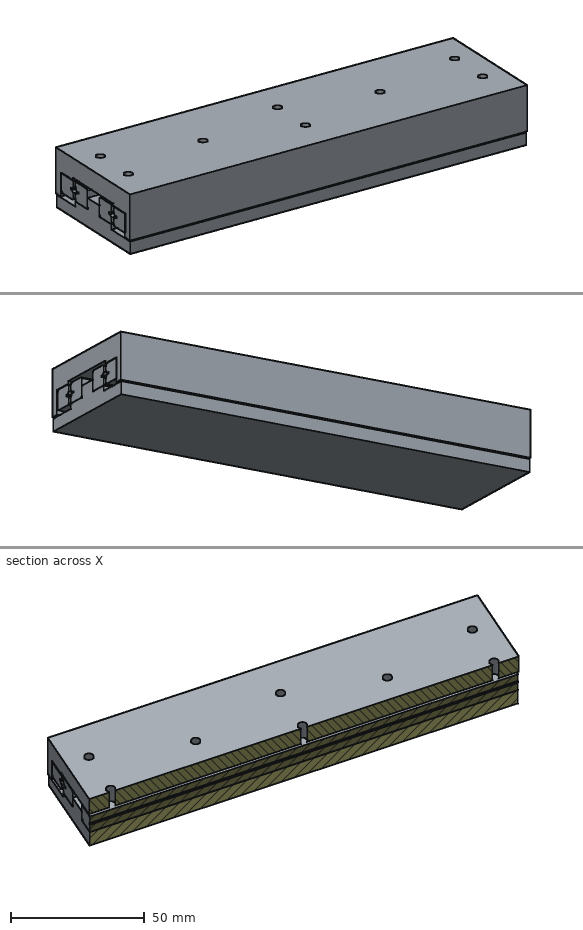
import cadquery as cq

LENGTH = 177.9
CARRIAGE_WIDTH = 50.5
INNER_LENGTH = 177.3
HEIGHT = 24.7

RAIL_SIZE = 8.2
RAIL_CHAMFER = 0.5
GROOVE_HEIGHT = 2.5
RELIEF_HEIGHT = 0.62
RELIEF_DEPTH = 1.8
RAIL_BOTTOM = 7.3
RUNNING_GAP = 1.5

BASE_WIDTH = 50.2
PLATE_THICKNESS = 5.2
POST_WIDTH = 8.2
POST_TOP = 12.0

CARRIAGE_BOTTOM = 5.7
CEILING_CLEARANCE = 1.0

HOLE_DIAMETER = 3.5
HOLE_SPACING_X = 19.0
HOLE_PITCH_Y = 39.7

RAIL_TOP = RAIL_BOTTOM + RAIL_SIZE
RAIL_MIDDLE = RAIL_BOTTOM + RAIL_SIZE / 2
POST_FACE = POST_WIDTH / 2
INNER_RAIL_FACE = POST_FACE + RAIL_SIZE
OUTER_RAIL_FACE = INNER_RAIL_FACE + RUNNING_GAP
SKIRT_FACE = OUTER_RAIL_FACE + RAIL_SIZE
CEILING = RAIL_TOP + CEILING_CLEARANCE


def bar(width, bottom, top, length=LENGTH):
    """Block centred on X and Y, between two heights; as long as the carriage unless told otherwise."""
    block = cq.Workplane("XY").box(width, length, top - bottom, centered=(True, True, False))
    return block.translate((0, 0, bottom))


def make_base():
    """Bottom plate with a stepped centre: a shelf under the inner rails and a post between them."""
    plate = bar(BASE_WIDTH, 0, PLATE_THICKNESS, INNER_LENGTH)
    shelf = bar(2 * INNER_RAIL_FACE, 0, RAIL_BOTTOM, INNER_LENGTH)
    post = bar(POST_WIDTH, 0, POST_TOP, INNER_LENGTH)
    return plate.union(shelf).union(post)


def make_carriage():
    """Inverted channel that holds the outer rails, with a deeper recess over the inner rails."""
    block = bar(CARRIAGE_WIDTH, CARRIAGE_BOTTOM, HEIGHT)
    rail_channel = bar(2 * SKIRT_FACE, CARRIAGE_BOTTOM, RAIL_TOP)
    centre_recess = bar(2 * OUTER_RAIL_FACE, CARRIAGE_BOTTOM, CEILING)
    return block.cut(rail_channel).cut(centre_recess).cut(make_mounting_holes())


def make_mounting_holes():
    """Pairs of holes at the ends and the middle, with single holes half-way between the pairs."""
    points = []
    for row in range(-2, 3):
        columns = (-HOLE_SPACING_X / 2, HOLE_SPACING_X / 2) if row % 2 == 0 else (0,)
        points += [(x, row * HOLE_PITCH_Y) for x in columns]
    holes = cq.Workplane("XY").workplane(offset=CEILING).pushPoints(points)
    return holes.circle(HOLE_DIAMETER / 2).extrude(HEIGHT - CEILING)


def make_rail(grooved_face, direction):
    """Rail whose grooved face lies at X = grooved_face and looks toward direction (+1 or -1)."""
    body = bar(RAIL_SIZE, RAIL_BOTTOM, RAIL_TOP, INNER_LENGTH).edges("|Y").chamfer(RAIL_CHAMFER)
    rail = body.translate((grooved_face - direction * RAIL_SIZE / 2, 0, 0))

    v_root = grooved_face - direction * GROOVE_HEIGHT / 2
    v_groove = (
        cq.Workplane("XZ")
        .moveTo(grooved_face, RAIL_MIDDLE - GROOVE_HEIGHT / 2)
        .lineTo(grooved_face, RAIL_MIDDLE + GROOVE_HEIGHT / 2)
        .lineTo(v_root, RAIL_MIDDLE)
        .close()
        .extrude(INNER_LENGTH / 2, both=True)
    )
    relief_centre = grooved_face - direction * RELIEF_DEPTH / 2
    relief = cq.Workplane("XY").box(RELIEF_DEPTH, INNER_LENGTH, RELIEF_HEIGHT)
    return rail.cut(v_groove).cut(relief.translate((relief_centre, 0, RAIL_MIDDLE)))


base = make_base()
carriage = make_carriage()

rails = []
for side in (-1, 1):
    rails.append(make_rail(side * INNER_RAIL_FACE, side))
    rails.append(make_rail(side * OUTER_RAIL_FACE, -side))

result = cq.Compound.makeCompound([base.val(), carriage.val(), *[rail.val() for rail in rails]])